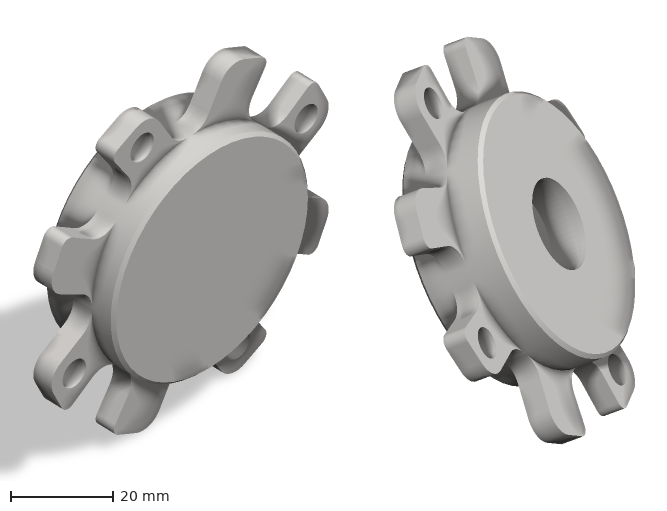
import cadquery as cq
import math

hub_width = 19.0
hub_radius = 27.5
hub_chamfer = 0.8
bore_radius = 9.5
bore_depth = 8.0

flange_width = 5.0
flange_offset = 1.0

outer_size = 77.2

tooth_pairs = 4
steep_flank_point = (6.6, 32.6)
steep_flank_slope = 60.0
shallow_flank_point = (19.3, 30.35)
shallow_flank_slope = 56.7
tip_direction = 64.4
foot_distance = 19.3

steep_corner_radius = 5.0
shallow_corner_radius = 2.0
root_radius = 5.0
rim_tolerance = 0.01

slope = math.radians(steep_flank_slope)
tip = math.radians(tip_direction)
corner_z = outer_size / 2 - steep_corner_radius
flank_y = steep_flank_point[0] + (corner_z - steep_flank_point[1]) / math.tan(slope)
corner_y = flank_y + steep_corner_radius / math.sin(slope)
tip_distance = corner_y * math.cos(tip) + corner_z * math.sin(tip) + steep_corner_radius

hole_radius = 3.25
hole_circle_radius = 35.0
first_hole_angle = 112.5


def flank_point(point, flank_slope, distance):
    """Point of a flank at the given distance from the axis, along the tip direction."""
    angle = math.radians(flank_slope)
    reached = point[0] * math.cos(tip) + point[1] * math.sin(tip)
    travel = (distance - reached) / math.cos(angle - tip)
    return (point[0] + travel * math.cos(angle), point[1] + travel * math.sin(angle))


def flange_plane():
    return cq.Workplane("YZ", origin=(flange_offset - flange_width / 2, 0, 0))


def make_tooth():
    steep_tip = flank_point(steep_flank_point, steep_flank_slope, tip_distance)
    shallow_tip = flank_point(shallow_flank_point, shallow_flank_slope, tip_distance)
    steep_foot = flank_point(steep_flank_point, steep_flank_slope, foot_distance)
    shallow_foot = flank_point(shallow_flank_point, shallow_flank_slope, foot_distance)
    outline = [steep_foot, steep_tip, shallow_tip, shallow_foot]
    tooth = flange_plane().polyline(outline).close().extrude(flange_width)

    def round_corner(body, corner, radius):
        nearest = cq.selectors.NearestToPointSelector((flange_offset, *corner))
        return body.edges("|X").edges(nearest).fillet(radius)

    tooth = round_corner(tooth, steep_tip, steep_corner_radius)
    return round_corner(tooth, shallow_tip, shallow_corner_radius)


def is_root_edge(edge):
    center = edge.Center()
    return abs(math.hypot(center.y, center.z) - hub_radius) < rim_tolerance


def make_flange():
    flange = flange_plane().circle(hub_radius).extrude(flange_width)
    flange = flange.rotate((0, 0, 0), (1, 0, 0), 360 / tooth_pairs / 4)
    tooth = make_tooth()
    mirrored_tooth = tooth.mirror("XZ")
    for index in range(tooth_pairs):
        turn = index * 360 / tooth_pairs
        for body in (tooth, mirrored_tooth):
            flange = flange.union(body.rotate((0, 0, 0), (1, 0, 0), turn))
    flange = flange.edges("|X").filter(is_root_edge).fillet(root_radius)
    holes = (
        flange_plane()
        .polarArray(hole_circle_radius, first_hole_angle, 360, tooth_pairs)
        .circle(hole_radius)
        .extrude(flange_width)
    )
    return flange.cut(holes)


def make_hub_side(start, end, outer_face):
    """Hub disc from X = start to X = end, with its outer rim chamfered."""
    disc = cq.Workplane("YZ", origin=(start, 0, 0)).circle(hub_radius).extrude(end - start)
    return disc.faces(outer_face).edges().chamfer(hub_chamfer)


front_side = make_hub_side(-hub_width / 2, flange_offset - flange_width / 2, "<X")
back_side = make_hub_side(flange_offset + flange_width / 2, hub_width / 2, ">X")
bore = cq.Workplane("YZ", origin=(-hub_width / 2, 0, 0)).circle(bore_radius).extrude(bore_depth)
result = make_flange().union(front_side).union(back_side).cut(bore)